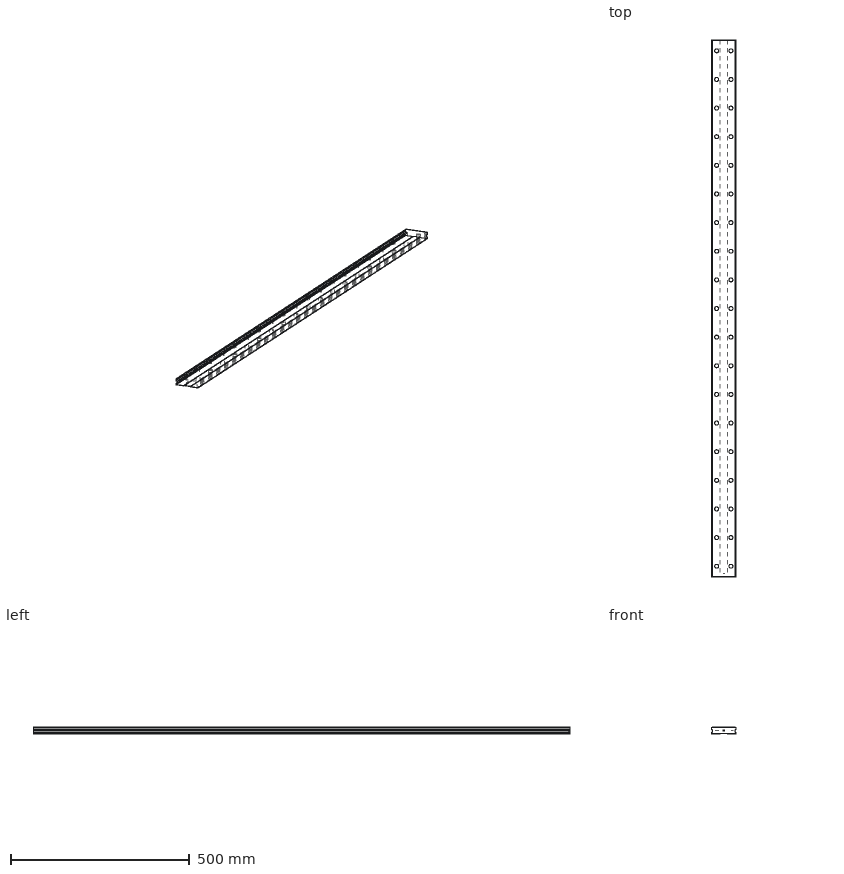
import cadquery as cq

RAIL_WIDTH = 69.0
RAIL_LENGTH = 1500.0
RAIL_HEIGHT = 19.0
TOP_CHAMFER = 2.5
BOTTOM_CHAMFER = 0.8

FLANK_GROOVE_CENTRE_Z = 8.0
FLANK_GROOVE_MOUTH = 9.0
FLANK_GROOVE_FLOOR = 4.0
FLANK_GROOVE_DEPTH = 3.0

RELIEF_WIDTH = 20.0
RELIEF_DEPTH = 1.0

HOLE_DIAMETER = 11.0
HOLE_DEPTH = 9.0
HOLE_ROW_SPACING = 40.0
HOLE_PITCH = 80.0
HOLES_PER_ROW = 19

END_HOLE_DIAMETER = 4.0
END_HOLE_DEPTH = 10.0


def rail_blank():
    """Plain bar with its four long edges chamfered."""
    bar = cq.Workplane("XY").box(RAIL_WIDTH, RAIL_LENGTH, RAIL_HEIGHT, centered=(True, True, False))
    bar = bar.faces(">Z").edges("|Y").chamfer(TOP_CHAMFER)
    return bar.faces("<Z").edges("|Y").chamfer(BOTTOM_CHAMFER)


def flank_groove(side):
    """Cutter for the full-length groove on one flank; side is -1 or +1."""
    outer_x = side * RAIL_WIDTH / 2
    floor_x = outer_x - side * FLANK_GROOVE_DEPTH
    half_mouth = FLANK_GROOVE_MOUTH / 2
    half_floor = FLANK_GROOVE_FLOOR / 2
    profile = [
        (outer_x, FLANK_GROOVE_CENTRE_Z + half_mouth),
        (floor_x, FLANK_GROOVE_CENTRE_Z + half_floor),
        (floor_x, FLANK_GROOVE_CENTRE_Z - half_floor),
        (outer_x, FLANK_GROOVE_CENTRE_Z - half_mouth),
    ]
    return cq.Workplane("XZ").polyline(profile).close().extrude(RAIL_LENGTH / 2, both=True)


def underside_relief():
    """Cutter for the shallow full-length channel in the underside."""
    return cq.Workplane("XY").box(RELIEF_WIDTH, RAIL_LENGTH, RELIEF_DEPTH, centered=(True, True, False))


def add_mounting_holes(rail):
    """Drill the blind holes down from the top face."""
    return (
        rail.faces(">Z")
        .workplane(origin=(0, 0, RAIL_HEIGHT))
        .rarray(HOLE_ROW_SPACING, HOLE_PITCH, 2, HOLES_PER_ROW)
        .hole(HOLE_DIAMETER, HOLE_DEPTH)
    )


def end_hole():
    """Cutter for the blind hole entering the -Y end face."""
    entry = cq.Workplane("XZ", origin=(0, -RAIL_LENGTH / 2, RAIL_HEIGHT / 2))
    return entry.circle(END_HOLE_DIAMETER / 2).extrude(-END_HOLE_DEPTH)


rail = rail_blank()
for side in (-1, 1):
    rail = rail.cut(flank_groove(side))
rail = rail.cut(underside_relief())
rail = add_mounting_holes(rail)
result = rail.cut(end_hole())